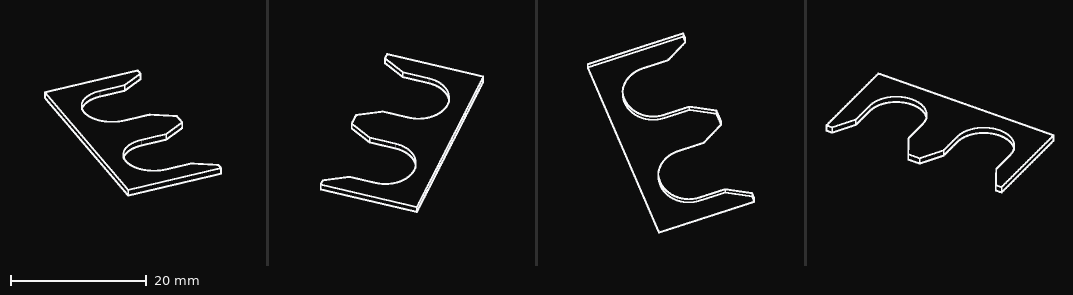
import cadquery as cq
import math

length = 30.0
depth = 15.0
thickness = 1.0

slot_width = 9.0
slot_floor = 3.0
slot_pitch = length / 2
flare_width = 2.0
flare_angle = 60.0

slot_radius = slot_width / 2
arc_center_y = slot_floor + slot_radius
flare_start_y = depth - flare_width * math.tan(math.radians(flare_angle))
mouth_half_width = slot_radius + flare_width


def slot_cutter(center_x):
    """Solid of one U-shaped slot with a flared mouth."""
    return (
        cq.Workplane("XY")
        .moveTo(center_x - mouth_half_width, depth)
        .lineTo(center_x - slot_radius, flare_start_y)
        .lineTo(center_x - slot_radius, arc_center_y)
        .threePointArc((center_x, slot_floor), (center_x + slot_radius, arc_center_y))
        .lineTo(center_x + slot_radius, flare_start_y)
        .lineTo(center_x + mouth_half_width, depth)
        .close()
        .extrude(thickness)
    )


result = cq.Workplane("XY").box(length, depth, thickness, centered=False)
for center_x in (slot_pitch / 2, length - slot_pitch / 2):
    result = result.cut(slot_cutter(center_x))